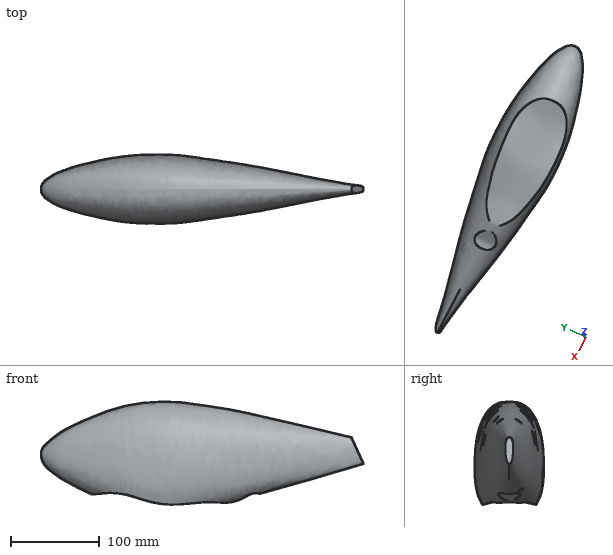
import cadquery as cq
import math


SECTIONS = [
    (0.0, 0.4, -0.4, 0.4, 0.0),
    (0.6, 4.2, -4.2, 3.6, 0.0),
    (2.5, 8.1, -9.2, 7.4, -0.7),
    (6.0, 12.0, -14.0, 11.0, -1.5),
    (12.0, 17.2, -19.3, 15.0, -2.5),
    (25.0, 26.7, -28.5, 21.0, -4.5),
    (40.0, 34.6, -36.6, 26.0, -7.0),
    (60.0, 43.3, -46.3, 31.0, -9.5),
    (85.0, 52.3, -57.0, 36.0, -12.5),
    (110.0, 57.7, -67.0, 38.7, -15.0),
    (135.0, 59.8, -72.5, 39.3, -15.5),
    (165.0, 58.2, -68.0, 37.4, -14.5),
    (200.0, 53.2, -58.2, 32.4, -12.5),
    (240.0, 45.3, -46.6, 26.2, -9.0),
    (300.0, 31.5, -29.6, 14.4, -3.0),
    (337.0, 22.7, -18.5, 7.6, 1.0),
    (355.0, 18.4, -13.2, 4.8, 2.0),
    (372.0, 14.4, -8.4, 2.6, 3.0),
]
SECTION_EXPONENT = 2.4
POINTS_PER_HALF = 12

SADDLE_STATIONS = [
    (48.0, -47.0, 0.0),
    (60.0, -45.0, 0.0),
    (78.0, -43.4, 0.0),
    (95.0, -45.3, 0.5),
    (115.0, -51.0, 2.5),
    (135.0, -55.9, 4.4),
    (160.0, -57.3, 5.6),
    (190.0, -56.5, 4.5),
    (222.0, -53.8, 1.5),
    (255.0, -50.0, 0.0),
]
SADDLE_EDGE_Y = 31.0
CUTTER_HALF_WIDTH = 45.0
CUTTER_FLOOR_Z = -100.0

TAIL_TOP_X = 350.6
TAIL_TOP_Z = 19.3
TAIL_BOTTOM_X = 364.5
TAIL_BOTTOM_Z = -10.8
TAIL_CUTTER_REACH = 60.0


def superellipse_point(angle, half_width, top, bottom, belt):
    """Point (y, z) of a section; the angle runs from the top (0) over +Y to the bottom (pi)."""
    across = math.sin(angle)
    up = math.cos(angle)
    height = top - belt if up >= 0 else belt - bottom
    power_sum = abs(across) ** SECTION_EXPONENT + abs(up) ** SECTION_EXPONENT
    scale = power_sum ** (-1 / SECTION_EXPONENT)
    y = half_width * across * scale
    z = belt + height * up * scale
    return y, z


def section_side(x, top, bottom, half_width, belt, start_angle):
    """Half of a section as a smooth curve that is level where it crosses the XZ plane."""
    angles = [start_angle + math.pi * index / POINTS_PER_HALF for index in range(POINTS_PER_HALF + 1)]
    points = []
    for angle in angles:
        y, z = superellipse_point(angle, half_width, top, bottom, belt)
        points.append(cq.Vector(x, y, z))
    direction = cq.Vector(0, half_width * math.cos(start_angle), 0)
    return cq.Edge.makeSpline(points, tangents=[direction, -direction], parameters=angles, scale=False)


def section_wire(x, top, bottom, half_width, belt):
    sides = [section_side(x, top, bottom, half_width, belt, start) for start in (0.0, math.pi)]
    return cq.Wire.assembleEdges(sides)


def make_body():
    wires = [section_wire(*section) for section in SECTIONS]
    return cq.Workplane(cq.Solid.makeLoft(wires))


def saddle_wire(x, edge_z, crown):
    """Closed outline below an arched line that passes edge_z at the saddle edges."""
    crown_z = edge_z + crown
    side_z = crown_z - crown * (CUTTER_HALF_WIDTH / SADDLE_EDGE_Y) ** 2
    left = cq.Vector(x, -CUTTER_HALF_WIDTH, side_z)
    right = cq.Vector(x, CUTTER_HALF_WIDTH, side_z)
    low_left = cq.Vector(x, -CUTTER_HALF_WIDTH, CUTTER_FLOOR_Z)
    low_right = cq.Vector(x, CUTTER_HALF_WIDTH, CUTTER_FLOOR_Z)
    arch = cq.Edge.makeSpline([left, cq.Vector(x, 0, crown_z), right])
    return cq.Wire.assembleEdges([
        arch,
        cq.Edge.makeLine(right, low_right),
        cq.Edge.makeLine(low_right, low_left),
        cq.Edge.makeLine(low_left, left),
    ])


def make_saddle_cutter():
    wires = [saddle_wire(*station) for station in SADDLE_STATIONS]
    return cq.Workplane(cq.Solid.makeLoft(wires))


def make_tail_cutter():
    """Block behind the raked tail face."""
    rake = (TAIL_BOTTOM_X - TAIL_TOP_X) / (TAIL_TOP_Z - TAIL_BOTTOM_Z)
    upper_z = TAIL_TOP_Z + TAIL_CUTTER_REACH
    lower_z = TAIL_BOTTOM_Z - TAIL_CUTTER_REACH
    back_x = TAIL_BOTTOM_X + 2 * TAIL_CUTTER_REACH
    outline = [
        (TAIL_TOP_X - rake * TAIL_CUTTER_REACH, upper_z),
        (TAIL_BOTTOM_X + rake * TAIL_CUTTER_REACH, lower_z),
        (back_x, lower_z),
        (back_x, upper_z),
    ]
    return cq.Workplane("XZ").polyline(outline).close().extrude(CUTTER_HALF_WIDTH, both=True)


result = make_body().cut(make_saddle_cutter()).cut(make_tail_cutter())